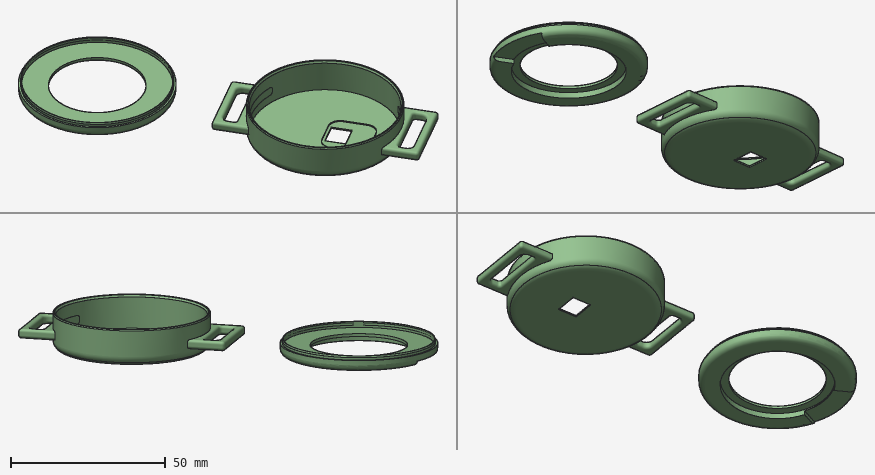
import cadquery as cq
import math

total_length = 136.5
body_diameter = 51.0
body_radius = body_diameter / 2
lug_reach = 34.7
lid_x = body_radius
lid_z = 3.0
case_x = total_length - lug_reach

case_height = 12.1
case_floor = 1.0
case_bore_radius = 49.0 / 2
case_edge_fillet = 3.0
rebate_radius = 49.8 / 2
rebate_depth = 0.1
rebate_seat_depth = 0.8
rim_chamfer = 0.3
rim_chamfer_height = 0.4

pocket_size = 16.0
pocket_depth = 0.4
pocket_corner = 4.0
window_length = 7.0
window_width = 8.0
window_offset = 1.0

lug_width = 25.1
lug_height = 3.0
lug_bottom = 4.0
lug_fillet = 1.0
slot_inner = 27.0
slot_width = 4.8
slot_length = 19.6
slot_outer_corner = 2.0
slot_inner_corner = 1.0
selection_margin = 0.1

lid_height = 5.0
lid_edge_fillet = 2.0
lid_shoulder = 3.7
lid_opening_radius = 31.5 / 2
lid_well_radius = 49.0 / 2
lid_web_bottom = 2.0
lid_web_top = 3.0
lip_radius = 49.7 / 2
lip_chamfer = 0.5
lip_chamfer_width = 0.2
recess_radius = 18.5
notch_half_angle = 26.3
notch_height = 1.5


def make_lug(side):
    """Strap lug reaching out from the case bore, on the +X (1) or -X (-1) side."""
    lug = (
        cq.Workplane("XY", origin=(0, 0, lug_bottom))
        .rect(2 * lug_reach, lug_width)
        .extrude(lug_height)
        .edges().fillet(lug_fillet)
    )
    slot = (
        cq.Workplane("XY", origin=(slot_inner + slot_width / 2, 0, lug_bottom))
        .rect(slot_width, slot_length)
        .extrude(lug_height)
    )
    slot = slot.edges("|Z and >X").fillet(slot_outer_corner)
    slot = slot.edges("|Z and <X").fillet(slot_inner_corner)
    lug = lug.cut(slot)
    in_slot = cq.selectors.BoxSelector(
        (slot_inner - selection_margin, -slot_length / 2 - selection_margin, 0),
        (slot_inner + slot_width + selection_margin, slot_length / 2 + selection_margin, case_height),
    )
    lug = lug.faces("<Z or >Z").edges(in_slot).fillet(lug_fillet)
    bore = cq.Workplane("XY").circle(case_bore_radius).extrude(case_height)
    half = cq.Workplane("XY").box(lug_reach, body_diameter, case_height, centered=(False, True, False))
    lug = lug.intersect(half).cut(bore)
    if side < 0:
        lug = lug.rotate((0, 0, 0), (0, 0, 1), 180)
    return lug.translate((case_x, 0, 0))


def make_case(lugs):
    """Cup with its floor pocket and window, cut to receive the lugs."""
    case = (
        cq.Workplane("XY")
        .circle(body_radius)
        .extrude(case_height)
        .faces("<Z").edges().fillet(case_edge_fillet)
        .faces(">Z").edges().chamfer(rim_chamfer_height, rim_chamfer)
    )
    bore = cq.Workplane("XY", origin=(0, 0, case_floor)).circle(case_bore_radius).extrude(case_height)
    rim_cut = (
        cq.Workplane("XZ")
        .moveTo(0, case_height)
        .lineTo(rebate_radius, case_height)
        .lineTo(rebate_radius, case_height - rebate_depth)
        .lineTo(case_bore_radius, case_height - rebate_seat_depth)
        .lineTo(0, case_height - rebate_seat_depth)
        .close()
        .revolve(360, (0, 0, 0), (0, 1, 0))
    )
    pocket = (
        cq.Workplane("XY", origin=(pocket_size / 2, 0, case_floor - pocket_depth))
        .rect(pocket_size, pocket_size)
        .extrude(pocket_depth)
        .edges("|Z").fillet(pocket_corner)
    )
    window = (
        cq.Workplane("XY", origin=(window_offset + window_length / 2, 0, 0))
        .rect(window_length, window_width)
        .extrude(case_floor)
    )
    case = case.cut(bore).cut(rim_cut).cut(pocket).cut(window).translate((case_x, 0, 0))
    for lug in lugs:
        case = case.cut(lug)
    return case


def make_lid():
    """Ring turned from one section, then notched on its -X side for a fingernail."""
    fillet_middle = lid_edge_fillet * (1 - math.sqrt(0.5))
    lid = (
        cq.Workplane("XZ")
        .moveTo(recess_radius, 0)
        .lineTo(body_radius - lid_edge_fillet, 0)
        .threePointArc((body_radius - fillet_middle, fillet_middle), (body_radius, lid_edge_fillet))
        .lineTo(body_radius, lid_shoulder)
        .lineTo(lip_radius, lid_shoulder)
        .lineTo(lip_radius, lid_height - lip_chamfer)
        .lineTo(lip_radius - lip_chamfer_width, lid_height)
        .lineTo(lid_well_radius, lid_height)
        .lineTo(lid_well_radius, lid_web_top)
        .lineTo(lid_opening_radius, lid_web_top)
        .lineTo(lid_opening_radius, lid_web_bottom)
        .lineTo(recess_radius, lid_web_bottom)
        .close()
        .revolve(360, (0, 0, 0), (0, 1, 0))
    )
    notch_y = body_diameter * math.tan(math.radians(notch_half_angle))
    notch = (
        cq.Workplane("XY")
        .polyline([(0, 0), (-body_diameter, notch_y), (-body_diameter, -notch_y)])
        .close()
        .extrude(notch_height)
    )
    return lid.cut(notch).translate((lid_x, 0, lid_z))


lugs = [make_lug(side) for side in (-1, 1)]
case = make_case(lugs)
lid = make_lid()

result = cq.Compound.makeCompound([lid.val(), case.val(), *[lug.val() for lug in lugs]])